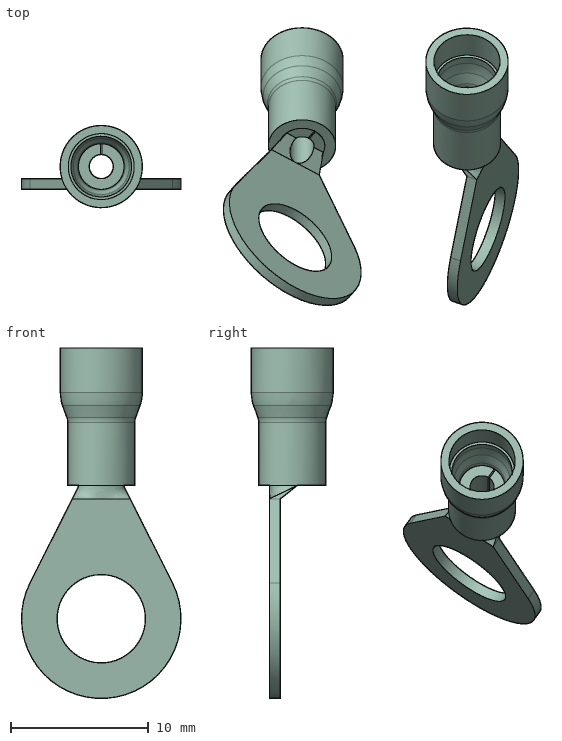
import cadquery as cq
import math

TOTAL_LENGTH = 25.5

RING_RADIUS = 11.6 / 2
STUD_HOLE_DIAMETER = 6.4
METAL_THICKNESS = 0.8
TONGUE_TOP_WIDTH = 4.23

BARREL_RADIUS = 1.65
BORE_RADIUS = BARREL_RADIUS - METAL_THICKNESS
SEAM_WIDTH = 0.1
NECK_HEIGHT = 1.0
NECK_CHORD_Y = 0.38

SLEEVE_LENGTH = 10.0
MOUTH_RADIUS = 6.0 / 2
MOUTH_BORE_RADIUS = 2.4
GRIP_RADIUS = 2.45
MOUTH_LENGTH = 3.25
MOUTH_BORE_DEPTH = 2.5
TAPER_ANGLE = math.radians(20)
SHOULDER_BEND_RADIUS = 2.83
WAIST_BEND_RADIUS = 1.02

SHOULDER_Z = TOTAL_LENGTH - MOUTH_LENGTH
SLEEVE_BOTTOM = TOTAL_LENGTH - SLEEVE_LENGTH
TONGUE_TOP = SLEEVE_BOTTOM - NECK_HEIGHT
TONGUE_FRONT = -BARREL_RADIUS
TONGUE_BACK = TONGUE_FRONT + METAL_THICKNESS


def waist_z(wide, narrow, shoulder_z):
    """Height where a taper from radius wide ends at radius narrow."""
    bends = SHOULDER_BEND_RADIUS + WAIST_BEND_RADIUS
    cone_drop = wide - narrow - bends * (1 - math.cos(TAPER_ANGLE))
    return shoulder_z - bends * math.sin(TAPER_ANGLE) - cone_drop / math.tan(TAPER_ANGLE)


def stepped_round(wide, narrow, shoulder_z):
    """Round solid, wide above and narrow below, joined by a cone with two tangent bends."""
    waist = waist_z(wide, narrow, shoulder_z)
    shoulder_center = wide - SHOULDER_BEND_RADIUS
    waist_center = narrow + WAIST_BEND_RADIUS

    def on_shoulder(angle):
        return (shoulder_center + SHOULDER_BEND_RADIUS * math.cos(angle),
                shoulder_z - SHOULDER_BEND_RADIUS * math.sin(angle))

    def on_waist(angle):
        return (waist_center - WAIST_BEND_RADIUS * math.cos(angle),
                waist + WAIST_BEND_RADIUS * math.sin(angle))

    return (
        cq.Workplane("XZ")
        .moveTo(0, TOTAL_LENGTH)
        .lineTo(wide, TOTAL_LENGTH)
        .lineTo(wide, shoulder_z)
        .threePointArc(on_shoulder(TAPER_ANGLE / 2), on_shoulder(TAPER_ANGLE))
        .lineTo(*on_waist(TAPER_ANGLE))
        .threePointArc(on_waist(TAPER_ANGLE / 2), (narrow, waist))
        .lineTo(narrow, SLEEVE_BOTTOM)
        .lineTo(0, SLEEVE_BOTTOM)
        .close()
        .revolve(360, (0, 0, 0), (0, 1, 0))
    )


BARREL_TOP = waist_z(MOUTH_RADIUS, GRIP_RADIUS, SHOULDER_Z)
BARREL_LENGTH = BARREL_TOP - SLEEVE_BOTTOM


def make_sleeve():
    """Sleeve of even wall around the barrel, with a wider bore at the mouth ending in a ledge."""
    wall = GRIP_RADIUS - BARREL_RADIUS
    outside = stepped_round(MOUTH_RADIUS, GRIP_RADIUS, SHOULDER_Z)
    inside = stepped_round(MOUTH_RADIUS - wall, BARREL_RADIUS, SHOULDER_Z)
    mouth_bore = (
        cq.Workplane("XY", origin=(0, 0, TOTAL_LENGTH - MOUTH_BORE_DEPTH))
        .circle(MOUTH_BORE_RADIUS)
        .extrude(MOUTH_BORE_DEPTH)
    )
    return outside.cut(inside).cut(mouth_bore)


def make_barrel_tube():
    return (
        cq.Workplane("XY", origin=(0, 0, SLEEVE_BOTTOM))
        .circle(BARREL_RADIUS)
        .circle(BORE_RADIUS)
        .extrude(BARREL_LENGTH)
    )


def make_seam():
    """Braze strip filling the slit along the back of the barrel."""
    strip = (
        cq.Workplane("XY", origin=(0, 0, SLEEVE_BOTTOM))
        .center(0, BARREL_RADIUS / 2)
        .rect(SEAM_WIDTH, BARREL_RADIUS)
        .extrude(BARREL_LENGTH)
    )
    return make_barrel_tube().intersect(strip)


def make_tongue():
    """Flat ring whose straight sides run tangent to its round end."""
    half_top = TONGUE_TOP_WIDTH / 2
    rise = TONGUE_TOP - RING_RADIUS
    corner_angle = math.atan2(rise, half_top)
    tangent_angle = corner_angle - math.acos(RING_RADIUS / math.hypot(half_top, rise))
    tangent_x = RING_RADIUS * math.cos(tangent_angle)
    tangent_z = RING_RADIUS + RING_RADIUS * math.sin(tangent_angle)
    return (
        cq.Workplane("XZ", origin=(0, TONGUE_BACK, 0))
        .moveTo(-half_top, TONGUE_TOP)
        .lineTo(half_top, TONGUE_TOP)
        .lineTo(tangent_x, tangent_z)
        .threePointArc((0, 0), (-tangent_x, tangent_z))
        .close()
        .moveTo(0, RING_RADIUS)
        .circle(STUD_HOLE_DIAMETER / 2)
        .extrude(METAL_THICKNESS)
    )


def make_neck():
    """Transition from the front arc of the barrel to the top of the tongue."""
    half_chord = math.sqrt(BARREL_RADIUS**2 - NECK_CHORD_Y**2)
    half_top = TONGUE_TOP_WIDTH / 2
    chord_left = cq.Vector(-half_chord, NECK_CHORD_Y, SLEEVE_BOTTOM)
    chord_right = cq.Vector(half_chord, NECK_CHORD_Y, SLEEVE_BOTTOM)
    arc_middle = cq.Vector(0, -BARREL_RADIUS, SLEEVE_BOTTOM)
    front_left = cq.Vector(-half_top, TONGUE_FRONT, TONGUE_TOP)
    front_right = cq.Vector(half_top, TONGUE_FRONT, TONGUE_TOP)
    back_left = cq.Vector(-half_top, TONGUE_BACK, TONGUE_TOP)
    back_right = cq.Vector(half_top, TONGUE_BACK, TONGUE_TOP)

    def flat_face(*corners):
        return cq.Face.makeFromWires(cq.Wire.makePolygon(corners, close=True))

    arc = cq.Edge.makeThreePointArc(chord_left, arc_middle, chord_right)
    chord = cq.Edge.makeLine(chord_right, chord_left)
    faces = [
        cq.Face.makeFromWires(cq.Wire.assembleEdges([arc, chord])),
        cq.Face.makeRuledSurface(arc, cq.Edge.makeLine(front_left, front_right)),
        flat_face(front_left, front_right, back_right, back_left),
        flat_face(chord_left, chord_right, back_right, back_left),
        flat_face(chord_left, front_left, back_left),
        flat_face(chord_right, front_right, back_right),
    ]
    solid = cq.Solid.makeSolid(cq.Shell.makeShell(faces)).fix()
    bore = (
        cq.Workplane("XY", origin=(0, 0, TONGUE_TOP))
        .circle(BORE_RADIUS)
        .extrude(NECK_HEIGHT)
    )
    return cq.Workplane(solid).cut(bore)


def make_terminal(seam):
    split_barrel = make_barrel_tube().cut(seam)
    return split_barrel.union(make_neck()).union(make_tongue())


sleeve = make_sleeve()
seam = make_seam()
terminal = make_terminal(seam)

result = cq.Compound.makeCompound([sleeve.val(), *terminal.vals(), seam.val()])